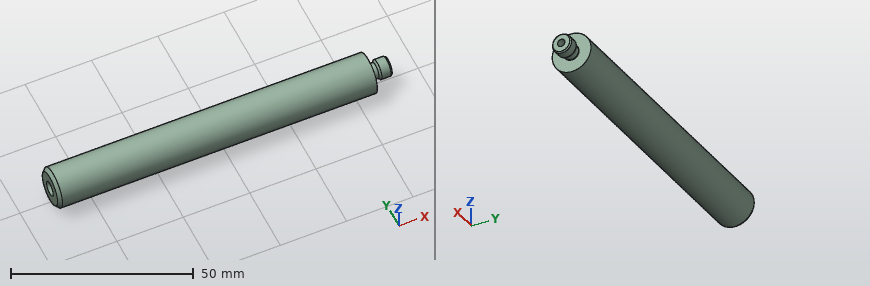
import cadquery as cq

overall_length = 102.0
left_end = -overall_length / 2
tip_end = overall_length / 2

housing_radius = 6.0
housing_length = 96.0
housing_chamfer = 1.0
bore_radius = 2.1
housing_end = left_end + housing_length

shank_length = 10.2
plug_hole_radius = 1.1
neck_radius = 2.3
groove_offset = 0.3
groove_width = 1.1
groove_depth = 0.1
head_radius = 3.0
head_length = 3.3
head_shoulder = head_radius - neck_radius
tip_chamfer_length = 0.5
tip_chamfer_height = 0.3


def make_housing():
    """Bored tube with a chamfer around its left end."""
    tube = (
        cq.Workplane("YZ", origin=(left_end, 0, 0))
        .circle(housing_radius)
        .extrude(housing_length)
        .faces("<X")
        .chamfer(housing_chamfer)
    )
    bore = (
        cq.Workplane("YZ", origin=(left_end, 0, 0))
        .circle(bore_radius)
        .extrude(housing_length)
    )
    return tube.cut(bore)


def make_plug():
    """Hollow turned plug whose shank fills the right end of the housing bore."""
    shank_start = housing_end - shank_length
    groove_start = housing_end + groove_offset
    groove_end = groove_start + groove_width
    groove_middle = (groove_start + groove_end) / 2
    head_start = tip_end - head_length
    return (
        cq.Workplane("XY")
        .moveTo(shank_start, plug_hole_radius)
        .lineTo(shank_start, bore_radius)
        .lineTo(housing_end, bore_radius)
        .lineTo(housing_end, neck_radius)
        .lineTo(groove_start, neck_radius)
        .threePointArc((groove_middle, neck_radius - groove_depth), (groove_end, neck_radius))
        .lineTo(head_start - head_shoulder, neck_radius)
        .lineTo(head_start, head_radius)
        .lineTo(tip_end - tip_chamfer_length, head_radius)
        .lineTo(tip_end, head_radius - tip_chamfer_height)
        .lineTo(tip_end, plug_hole_radius)
        .close()
        .revolve(360, (0, 0, 0), (1, 0, 0))
    )


housing = make_housing()
plug = make_plug()

result = cq.Compound.makeCompound([housing.val(), plug.val()])